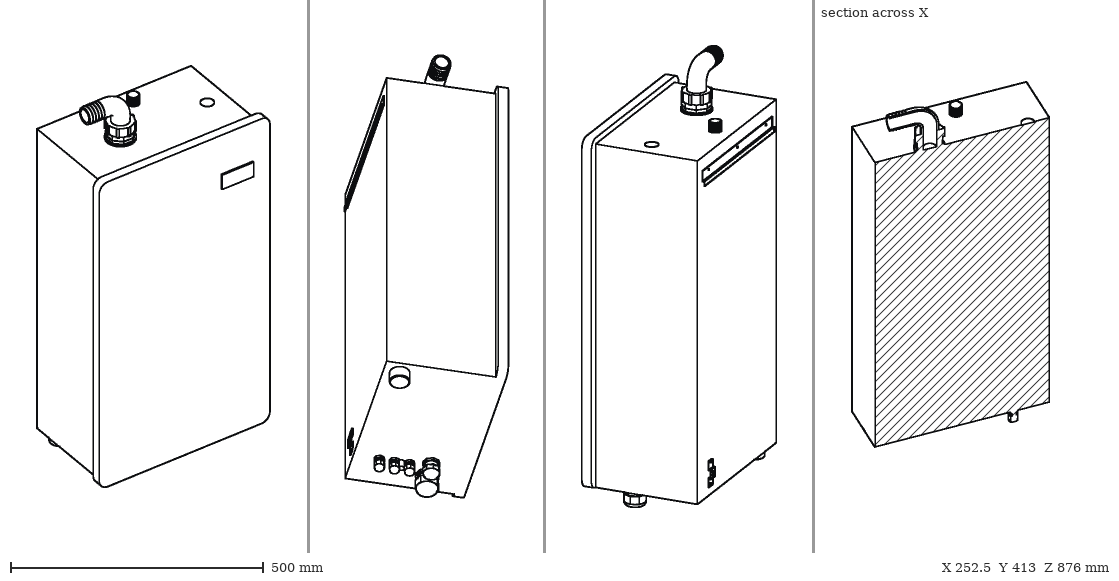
import cadquery as cq
import math

back_x = -120.0
door_back_x = 102.0
door_front_x = 123.0
bottom_z = -397.0
body_top_z = 331.0
door_top_z = 344.0
body_width = 372.0
door_width = 413.0
door_corner_radius = 21.0

sheet = 2.0
bracket_depth = 6.0
screw_diameter = 3.5

rail_width = 329.5
rail_top_z = 302.0
rail_step_z = 281.0
rail_lip_z = 271.0
rail_screw_pitch = 135.0
rail_screw_z = 295.0

spacer_y = (115.0, 136.0)
spacer_z = (-378.5, -323.0)
bridge_z = (-361.0, -341.0)
spacer_screw_inset = 4.0
spacer_corner_chamfer = 3.5
bridge_window = (5.0, 8.0)

display_thickness = 3.5
display_y = (88.5, 165.0)
display_z = (215.0, 250.0)

knob_center = (-82.0, 20.0)
knob_radius = 13.0
knob_height = 21.0
knob_chamfer = 2.0
knob_flute_count = 20
knob_flute_radius = 1.3

plug_center = (0, 141.0)
plug_radius = 14.0
plug_recess = 1.0

hose_x = -1.0
hose_y = -68.0
hose_radius = 19.0
hose_bore_radius = 14.0
hose_top_z = 438
hose_axis_z = hose_top_z - hose_radius
bend_radius = 32.0
hose_tip_y = -154.0
barb_count = 6
barb_pitch = 7.0
barb_taper = 10

union_flange_radius = 31.5
union_flange_height = 3.5
union_lower_flats = 54.0
union_upper_flats = 56.0
union_step_z = 342.0
union_nut_z = (352.0, 373.0)
union_nut_radius = 29.0
union_rib_count = 8
union_rib_width = 5.0

stub_center = (-87.0, -156.0)
stub_radius = 20.0
stub_length = 24.0
stub_chamfer = 2.0

pin_center = (-23.0, 111.0)
pin_radius = 6.0
pin_length = 17.0

gland_flange_depth = 5.0
small_gland_y = 111.0
small_gland_x = -37.0
small_gland_pitch = 31.0
medium_gland_center = (36.0, 102.5)
large_gland_center = (36.0, 142.0)

small_gland = dict(
    nut_radius=10.5,
    neck_radius=8.0,
    tip_radius=6.0,
    nut_start=10.0,
    nut_end=21.0,
    tip_end=27.0,
)
medium_gland = dict(
    nut_radius=17.5,
    neck_radius=14.0,
    tip_radius=12.0,
    nut_start=16.0,
    nut_end=26.0,
    tip_end=31.5,
)
large_gland = dict(
    nut_radius=24.0,
    neck_radius=18.0,
    tip_radius=14.0,
    nut_start=16.0,
    nut_end=32.0,
    tip_end=41.0,
)

octagon_sides = 8
octagon_flat_ratio = math.cos(math.pi / octagon_sides)

overlap = 2.0


def box(x, y, z):
    """Box given by its (low, high) limits along each axis."""
    size = (x[1] - x[0], y[1] - y[0], z[1] - z[0])
    return cq.Workplane("XY").box(*size, centered=False).translate((x[0], y[0], z[0]))


def cylinder(center, radius, z):
    """Upright cylinder between two heights."""
    return cq.Workplane("XY", origin=(*center, z[0])).circle(radius).extrude(z[1] - z[0])


def octagon(center, corner_radius, z, turn=0):
    """Upright octagonal prism; with no turn its corners point along X and Y."""
    plane = cq.Workplane("XY", origin=(*center, z[0]))
    prism = plane.polygon(octagon_sides, 2 * corner_radius).extrude(z[1] - z[0])
    return prism.rotate((*center, 0), (*center, 1), turn)


def screw_hole(y, z):
    """Cutter for a screw hole through a bracket sheet, stopping at the housing."""
    plane = cq.Workplane("YZ", origin=(back_x - bracket_depth, y, z))
    return plane.circle(screw_diameter / 2).extrude(bracket_depth)


def make_housing():
    half_width = body_width / 2
    body = box((back_x, door_back_x), (-half_width, half_width), (bottom_z, body_top_z))
    half_door = door_width / 2
    door = box((door_back_x, door_front_x), (-half_door, half_door), (bottom_z, door_top_z))
    door = door.edges("|X").fillet(door_corner_radius)
    display_x = (door_front_x, door_front_x + display_thickness)
    plug_floor = (body_top_z - plug_recess, body_top_z)
    housing = body.union(door).union(box(display_x, display_y, display_z))
    return housing.cut(cylinder(plug_center, plug_radius, plug_floor))


def make_rail():
    """Hanging rail: a flat strip with an offset lip hanging clear of the wall side."""
    lip_x = back_x - bracket_depth
    outline = [
        (back_x, rail_top_z),
        (back_x - sheet, rail_top_z),
        (back_x - sheet, rail_step_z),
        (lip_x, rail_step_z),
        (lip_x, rail_lip_z),
        (lip_x + sheet, rail_lip_z),
        (lip_x + sheet, rail_step_z - sheet),
        (back_x, rail_step_z - sheet),
    ]
    rail = cq.Workplane("XZ").polyline(outline).close().extrude(rail_width / 2, both=True)
    for y in (-rail_screw_pitch, 0, rail_screw_pitch):
        rail = rail.cut(screw_hole(y, rail_screw_z))
    return rail


def make_spacer():
    """Lower wall spacer: two screwed feet joined by a raised, windowed bridge."""
    mid_y = sum(spacer_y) / 2
    mid_z = sum(spacer_z) / 2
    feet = box((back_x - sheet, back_x), spacer_y, spacer_z)
    feet = feet.edges("|X and <Y").chamfer(spacer_corner_chamfer)
    bridge = box((back_x - bracket_depth, back_x), spacer_y, bridge_z)
    gap_z = (bridge_z[0] + sheet, bridge_z[1] - sheet)
    gap = box((back_x - bracket_depth + sheet, back_x), spacer_y, gap_z)
    window = cq.Workplane("YZ", origin=(back_x, mid_y, mid_z)).rect(*bridge_window)
    spacer = feet.union(bridge).cut(gap).cut(window.extrude(-bracket_depth))
    for z in (spacer_z[0] + spacer_screw_inset, spacer_z[1] - spacer_screw_inset):
        spacer = spacer.cut(screw_hole(mid_y, z))
    return spacer


def make_knob():
    """Fluted vent cap with a chamfered top."""
    base_z = body_top_z - overlap
    cap = cylinder(knob_center, knob_radius, (base_z, body_top_z + knob_height))
    cap = cap.faces(">Z").edges().chamfer(knob_chamfer)
    flutes = (
        cq.Workplane("XY", origin=(*knob_center, base_z))
        .polarArray(knob_radius, 0, 360, knob_flute_count)
        .circle(knob_flute_radius)
        .extrude(knob_height + overlap)
    )
    return cap.cut(flutes)


def make_elbow(radius, start_z, end_y):
    """Solid rod following the hose: up from start_z, a quarter bend, then along -Y to end_y."""
    bend_start_z = hose_axis_z - bend_radius
    bend_end_y = hose_y - bend_radius
    bend_mid = (
        hose_y - bend_radius * (1 - math.cos(math.radians(45))),
        bend_start_z + bend_radius * math.sin(math.radians(45)),
    )
    path = (
        cq.Workplane("YZ", origin=(hose_x, 0, 0))
        .moveTo(hose_y, start_z)
        .lineTo(hose_y, bend_start_z)
        .threePointArc(bend_mid, (bend_end_y, hose_axis_z))
        .lineTo(end_y, hose_axis_z)
    )
    return cq.Workplane("XY", origin=(hose_x, hose_y, start_z)).circle(radius).sweep(path)


def make_hose_union():
    """Barbed elbow held by a ribbed union nut."""
    center = (hose_x, hose_y)
    base_z = body_top_z - overlap
    barb_start_y = hose_tip_y + barb_count * barb_pitch
    fitting = make_elbow(hose_radius, body_top_z, barb_start_y)
    for index in range(barb_count):
        barb_y = barb_start_y - index * barb_pitch
        barb = (
            cq.Workplane("XZ", origin=(hose_x, barb_y, hose_axis_z))
            .circle(hose_radius)
            .extrude(barb_pitch, taper=barb_taper)
        )
        fitting = fitting.union(barb)

    flange_z = (base_z, body_top_z + union_flange_height)
    fitting = fitting.union(cylinder(center, union_flange_radius, flange_z))
    flat_angle = 180 / octagon_sides
    lower_corner = union_lower_flats / 2 / octagon_flat_ratio
    upper_corner = union_upper_flats / 2 / octagon_flat_ratio
    fitting = fitting.union(octagon(center, lower_corner, (base_z, union_step_z), flat_angle))
    fitting = fitting.union(octagon(center, upper_corner, (union_step_z, union_nut_z[0]), flat_angle))
    fitting = fitting.union(cylinder(center, union_nut_radius, union_nut_z))
    nut_height = union_nut_z[1] - union_nut_z[0]
    rib_bar = cq.Workplane("XY").rect(2 * union_flange_radius, union_rib_width).extrude(nut_height)
    for index in range(union_rib_count // 2):
        bar = rib_bar.rotate((0, 0, 0), (0, 0, 1), index * 360 / union_rib_count)
        fitting = fitting.union(bar.translate((*center, union_nut_z[0])))
    return fitting.cut(make_elbow(hose_bore_radius, body_top_z, hose_tip_y))


def make_stub():
    stub = cylinder(stub_center, stub_radius, (bottom_z - stub_length, bottom_z + overlap))
    return stub.faces("<Z").edges().chamfer(stub_chamfer)


def make_gland(center, nut_radius, neck_radius, tip_radius, nut_start, nut_end, tip_end):
    """Cable gland hanging below the housing; the last three sizes are depths under its floor."""
    flange_z = (bottom_z - gland_flange_depth, bottom_z + overlap)
    nut_z = (bottom_z - nut_end, bottom_z - nut_start)
    flange = octagon(center, nut_radius, flange_z)
    neck = cylinder(center, neck_radius, (nut_z[0], bottom_z + overlap))
    nut = octagon(center, nut_radius, nut_z)
    cap_radius = nut_radius * octagon_flat_ratio
    cap = cylinder(center, cap_radius, (bottom_z - tip_end, nut_z[0]))
    cap = cap.faces("<Z").edges().fillet(cap_radius - tip_radius)
    return flange.union(neck).union(nut).union(cap)


result = make_housing()
for fitting in (make_rail(), make_spacer(), make_knob(), make_hose_union(), make_stub()):
    result = result.union(fitting)
result = result.union(cylinder(pin_center, pin_radius, (bottom_z - pin_length, bottom_z + overlap)))

for step in (-1, 0, 1):
    small_gland_center = (small_gland_x + step * small_gland_pitch, small_gland_y)
    result = result.union(make_gland(small_gland_center, **small_gland))
result = result.union(make_gland(medium_gland_center, **medium_gland))
result = result.union(make_gland(large_gland_center, **large_gland))